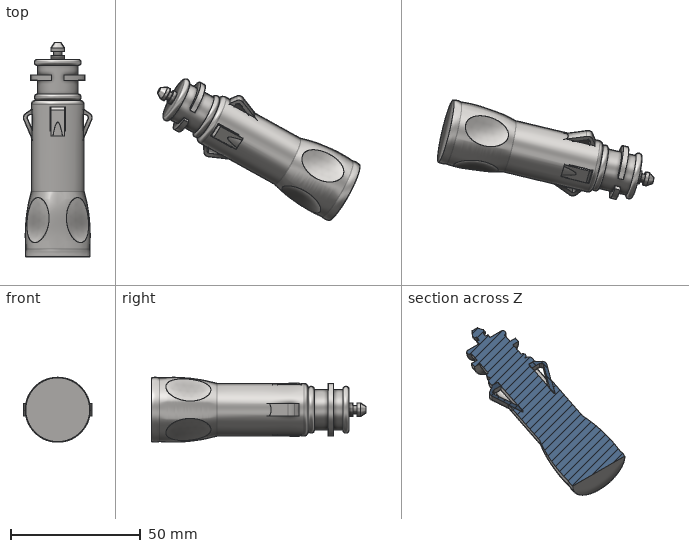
import cadquery as cq
import math

LENGTH = 82.55

HANDLE_END_RADIUS = 12.3
END_BAND_LENGTH = 3.05
END_BAND_BULGE = 0.21
HANDLE_BELLY_RADIUS = 12.5
HANDLE_BELLY_Y = 10.7
HANDLE_TOP_Y = 25.3

SCOOP_COUNT = 4
SCOOP_RADIUS = 23.1
SCOOP_CENTER_DISTANCE = 32.9
SCOOP_CENTER_Y = 16.3

BARREL_RADIUS = 10.15
BARREL_TOP_Y = 60.3
BARREL_FILLET = 1.65

NOSE_RADIUS = 7.85
NOSE_TOP_Y = 76.0
BEAD_WIDTH = 2.4
BEAD_RADIUS = BEAD_WIDTH / 2

TIP_RADIUS = 2.65
TIP_GROOVE_RADIUS = 1.65
TIP_END_RADIUS = 1.2
TIP_GROOVE_BOTTOM_Y = 77.5
TIP_GROOVE_TOP_Y = 79.0
TIP_CONE_Y = 80.4

FLANGE_RADIUS = 10.4
FLANGE_BOTTOM_Y = 67.9
FLANGE_THICKNESS = 2.15
FLANGE_GAP = 4.6

SPRING_FLOOR_RADIUS = 7.4
SIDE_SPRING_WIDTH = 4.95
SIDE_ENTRY_RADIUS = 10.1
SIDE_TOP_Y = 56.8
SIDE_BEND_TOP = (12.55, 55.1)
SIDE_BEND_CREST = (13.2, 53.65)
SIDE_BEND_BOTTOM = (13.0, 52.6)
SIDE_LEG_SLOPE = 0.43
SIDE_LEG_WIDTH_ALONG_Y = 3.7
WINDOW_TOP_Y = 54.7
WINDOW_BEND_TOP_RADIUS = 10.7
WINDOW_BEND_CREST = (11.4, 54.3)
WINDOW_BEND_BOTTOM_Y = 53.6
SIDE_SPRING_ANGLES = (0, 180)

TONGUE_WIDTH = 5.2
TONGUE_TOP_Y = 57.6
TONGUE_TOP_RADIUS = 9.8
TONGUE_PEAK_Y = 56.55
TONGUE_BOTTOM_Y = 46.55
TONGUE_FLUSH_Y = 51.85
TONGUE_SLOPE = 0.032
TONGUE_FLOOR_RADIUS = 9.1
TONGUE_POCKET_WIDTH = 5.8
TONGUE_POCKET_TOP_Y = 57.8
TONGUE_POCKET_BOTTOM_Y = 48.45
TONGUE_ANGLES = (90, 270)


def around_y(shape, angle):
    return shape.rotate((0, 0, 0), (0, 1, 0), angle)


def make_core():
    band_crest = (HANDLE_END_RADIUS + END_BAND_BULGE, END_BAND_LENGTH / 2)
    bead_crest = NOSE_RADIUS + BEAD_RADIUS
    fillet_center_radius = BARREL_RADIUS - BARREL_FILLET
    fillet_center_y = BARREL_TOP_Y - BARREL_FILLET
    fillet_mid = BARREL_FILLET * math.sqrt(0.5)
    return (
        cq.Workplane("ZY")
        .lineTo(HANDLE_END_RADIUS, 0)
        .threePointArc(band_crest, (HANDLE_END_RADIUS, END_BAND_LENGTH))
        .threePointArc((HANDLE_BELLY_RADIUS, HANDLE_BELLY_Y), (BARREL_RADIUS, HANDLE_TOP_Y))
        .lineTo(BARREL_RADIUS, fillet_center_y)
        .threePointArc(
            (fillet_center_radius + fillet_mid, fillet_center_y + fillet_mid),
            (fillet_center_radius, BARREL_TOP_Y),
        )
        .lineTo(NOSE_RADIUS, BARREL_TOP_Y)
        .threePointArc(
            (bead_crest, BARREL_TOP_Y + BEAD_RADIUS),
            (NOSE_RADIUS, BARREL_TOP_Y + BEAD_WIDTH),
        )
        .lineTo(NOSE_RADIUS, NOSE_TOP_Y - BEAD_WIDTH)
        .threePointArc((bead_crest, NOSE_TOP_Y - BEAD_RADIUS), (NOSE_RADIUS, NOSE_TOP_Y))
        .lineTo(TIP_RADIUS, NOSE_TOP_Y)
        .lineTo(TIP_RADIUS, TIP_GROOVE_BOTTOM_Y)
        .lineTo(TIP_GROOVE_RADIUS, TIP_GROOVE_BOTTOM_Y)
        .lineTo(TIP_GROOVE_RADIUS, TIP_GROOVE_TOP_Y)
        .lineTo(TIP_RADIUS, TIP_GROOVE_TOP_Y)
        .lineTo(TIP_RADIUS, TIP_CONE_Y)
        .lineTo(TIP_END_RADIUS, LENGTH)
        .lineTo(0, LENGTH)
        .close()
        .revolve(360, (0, 0, 0), (0, 1, 0))
    )


def make_flange():
    ring = (
        cq.Workplane("XZ", origin=(0, FLANGE_BOTTOM_Y, 0))
        .circle(FLANGE_RADIUS)
        .extrude(-FLANGE_THICKNESS)
    )
    gap = cq.Workplane("XY").box(FLANGE_GAP, 4 * LENGTH, 4 * FLANGE_RADIUS)
    return ring.cut(gap)


def make_scoop(angle):
    scoop = cq.Workplane("XY").sphere(SCOOP_RADIUS).translate((SCOOP_CENTER_DISTANCE, SCOOP_CENTER_Y, 0))
    return around_y(scoop, angle)


def side_leg_y(radius):
    """Y of the outer face of a side spring's long leg at a given radius."""
    bend_radius, bend_y = SIDE_BEND_BOTTOM
    return bend_y - (bend_radius - radius) / SIDE_LEG_SLOPE


def make_side_block():
    """Solid between the outer faces of a side spring; also the shape of its pocket."""
    return (
        cq.Workplane("XY")
        .moveTo(SPRING_FLOOR_RADIUS, SIDE_TOP_Y)
        .lineTo(SIDE_ENTRY_RADIUS, SIDE_TOP_Y)
        .lineTo(*SIDE_BEND_TOP)
        .threePointArc(SIDE_BEND_CREST, SIDE_BEND_BOTTOM)
        .lineTo(SPRING_FLOOR_RADIUS, side_leg_y(SPRING_FLOOR_RADIUS))
        .close()
        .extrude(SIDE_SPRING_WIDTH / 2, both=True)
    )


def make_side_spring():
    leg_inner_foot_y = side_leg_y(SPRING_FLOOR_RADIUS) + SIDE_LEG_WIDTH_ALONG_Y
    bend_bottom_radius = SPRING_FLOOR_RADIUS + (WINDOW_BEND_BOTTOM_Y - leg_inner_foot_y) * SIDE_LEG_SLOPE
    window = (
        cq.Workplane("XY")
        .moveTo(SPRING_FLOOR_RADIUS, WINDOW_TOP_Y)
        .lineTo(WINDOW_BEND_TOP_RADIUS, WINDOW_TOP_Y)
        .threePointArc(WINDOW_BEND_CREST, (bend_bottom_radius, WINDOW_BEND_BOTTOM_Y))
        .lineTo(SPRING_FLOOR_RADIUS, leg_inner_foot_y)
        .close()
        .extrude(SIDE_SPRING_WIDTH / 2, both=True)
    )
    return make_side_block().cut(window)


def tongue_radius(y):
    """Distance of the tongue's sloping outer face from the plug axis at a given Y."""
    return BARREL_RADIUS + TONGUE_SLOPE * (y - TONGUE_FLUSH_Y)


def make_tongue():
    outline = [
        (TONGUE_FLOOR_RADIUS, TONGUE_TOP_Y),
        (TONGUE_TOP_RADIUS, TONGUE_TOP_Y),
        (tongue_radius(TONGUE_PEAK_Y), TONGUE_PEAK_Y),
        (tongue_radius(TONGUE_BOTTOM_Y), TONGUE_BOTTOM_Y),
        (TONGUE_FLOOR_RADIUS, TONGUE_BOTTOM_Y),
    ]
    return cq.Workplane("XY").polyline(outline).close().extrude(TONGUE_WIDTH / 2, both=True)


def make_tongue_pocket():
    """Clearance slot beside the tongue, closed above by the same sloping plane as the tongue."""
    outline = [
        (TONGUE_FLOOR_RADIUS, TONGUE_POCKET_TOP_Y),
        (tongue_radius(TONGUE_POCKET_TOP_Y), TONGUE_POCKET_TOP_Y),
        (tongue_radius(TONGUE_POCKET_BOTTOM_Y), TONGUE_POCKET_BOTTOM_Y),
        (TONGUE_FLOOR_RADIUS, TONGUE_POCKET_BOTTOM_Y),
    ]
    return cq.Workplane("XY").polyline(outline).close().extrude(TONGUE_POCKET_WIDTH / 2, both=True)


def make_housing():
    housing = make_core().union(make_flange())
    for index in range(SCOOP_COUNT):
        housing = housing.cut(make_scoop((index + 0.5) * 360 / SCOOP_COUNT))
    for angle in SIDE_SPRING_ANGLES:
        housing = housing.cut(around_y(make_side_block(), angle))
    for angle in TONGUE_ANGLES:
        housing = housing.cut(around_y(make_tongue_pocket(), angle))
        housing = housing.cut(around_y(make_tongue(), angle))
    return housing


housing = make_housing()
side_springs = [around_y(make_side_spring(), angle).val() for angle in SIDE_SPRING_ANGLES]
tongues = [around_y(make_tongue(), angle).val() for angle in TONGUE_ANGLES]

result = cq.Compound.makeCompound([housing.val(), *side_springs, *tongues])